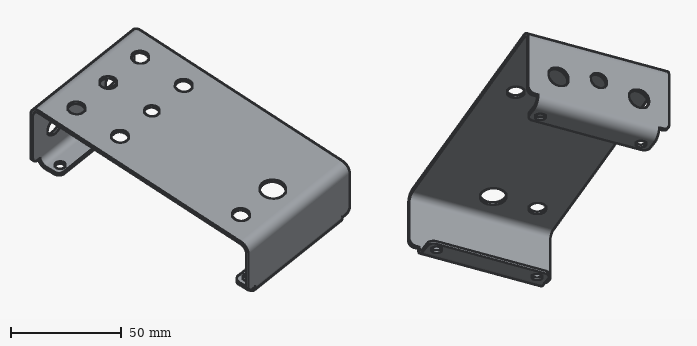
import cadquery as cq
import math

LENGTH = 130.0
WIDTH = 70.0
HEIGHT = 40.0
THICKNESS = 1.5
BEND_RADIUS = 5.0
TOP_SLOPE = 3.0

FLANGE_LENGTH = 13.0
FLANGE_WIDTH = 60.0
CORNER_RADIUS = 3.0

TOP_HOLE_DIAMETER = 8.0
SMALL_TOP_HOLE_DIAMETER = 7.0
LARGE_TOP_HOLE_DIAMETER = 12.0
TOP_ROW_SPACING = 22.0
FIRST_COLUMN_INSET = 16.1
COLUMN_SPACING = 26.0
RIGHT_COLUMN_INSET = 15.7

WALL_HOLE_DIAMETER = 10.0
WALL_HOLE_OFFSET = 20.0
WALL_HOLE_HEIGHT = 18.0
MIDDLE_WALL_HOLE_DIAMETER = 8.0
MIDDLE_WALL_HOLE_HEIGHT = 22.0

FLANGE_HOLE_DIAMETER = 5.0
FLANGE_HOLE_INSET = 9.0
FLANGE_HOLE_OFFSET = 25.0

HALF_LENGTH = LENGTH / 2
slope = math.radians(TOP_SLOPE)
upper_left_z = HEIGHT - BEND_RADIUS
upper_right_z = upper_left_z - (LENGTH - 2 * BEND_RADIUS) * math.tan(slope)

bend_x = HALF_LENGTH - BEND_RADIUS
top_angle = math.pi / 2 - slope
BENDS = [
    (-bend_x, BEND_RADIUS, 1.5 * math.pi, math.pi),
    (-bend_x, upper_left_z, math.pi, top_angle),
    (bend_x, upper_right_z, top_angle, 0.0),
    (bend_x, BEND_RADIUS, 0.0, -math.pi / 2),
]


def bend_point(x, z, radius, angle):
    return (x + radius * math.cos(angle), z + radius * math.sin(angle))


def folded_sheet():
    """Constant-thickness strip folded round the four bends."""
    inner_radius = BEND_RADIUS - THICKNESS
    flange_tip = HALF_LENGTH - FLANGE_LENGTH
    profile = cq.Workplane("XZ").moveTo(-flange_tip, 0)
    for x, z, start, end in BENDS:
        profile = profile.lineTo(*bend_point(x, z, BEND_RADIUS, start))
        profile = profile.threePointArc(
            bend_point(x, z, BEND_RADIUS, (start + end) / 2),
            bend_point(x, z, BEND_RADIUS, end),
        )
    profile = profile.lineTo(flange_tip, 0).lineTo(flange_tip, THICKNESS)
    for x, z, start, end in reversed(BENDS):
        profile = profile.lineTo(*bend_point(x, z, inner_radius, end))
        profile = profile.threePointArc(
            bend_point(x, z, inner_radius, (start + end) / 2),
            bend_point(x, z, inner_radius, start),
        )
    profile = profile.lineTo(-flange_tip, THICKNESS).close()
    return profile.extrude(WIDTH / 2, both=True)


def wall_envelope():
    """Full-width region above the lower bends, with rounded lower corners."""
    wall_height = HEIGHT - BEND_RADIUS
    return (
        cq.Workplane("XY")
        .workplane(offset=BEND_RADIUS)
        .box(LENGTH, WIDTH, wall_height, centered=(True, True, False))
        .edges("|X and <Z")
        .fillet(CORNER_RADIUS)
    )


def flange_envelope():
    """Narrow region holding the lower bends and both rounded flanges."""
    flange = cq.Workplane("XY").box(
        FLANGE_LENGTH, FLANGE_WIDTH, BEND_RADIUS, centered=(True, True, False)
    )
    center_x = HALF_LENGTH - FLANGE_LENGTH / 2
    left = flange.edges("|Z and >X").fillet(CORNER_RADIUS).translate((-center_x, 0, 0))
    right = flange.edges("|Z and <X").fillet(CORNER_RADIUS).translate((center_x, 0, 0))
    return left.union(right)


def top_hole(x, y, diameter):
    """Cutter square to the sloping top, centred on its outer face."""
    normal = (math.sin(slope), 0, math.cos(slope))
    tangent_x, tangent_z = bend_point(-bend_x, upper_left_z, BEND_RADIUS, top_angle)
    surface_z = tangent_z - (x - tangent_x) * math.tan(slope)
    plane = cq.Plane(origin=(x, y, surface_z), xDir=(0, 1, 0), normal=normal)
    return cq.Workplane(plane).circle(diameter / 2).extrude(2 * THICKNESS, both=True)


def top_holes():
    first_x = FIRST_COLUMN_INSET - HALF_LENGTH
    second_x = first_x + COLUMN_SPACING
    right_x = HALF_LENGTH - RIGHT_COLUMN_INSET
    cutters = top_hole(right_x, 0, LARGE_TOP_HOLE_DIAMETER)
    cutters = cutters.union(top_hole(right_x, -TOP_ROW_SPACING, TOP_HOLE_DIAMETER))
    for row in (-1, 0, 1):
        y = row * TOP_ROW_SPACING
        second_diameter = SMALL_TOP_HOLE_DIAMETER if row == 0 else TOP_HOLE_DIAMETER
        cutters = cutters.union(top_hole(first_x, y, TOP_HOLE_DIAMETER))
        cutters = cutters.union(top_hole(second_x, y, second_diameter))
    return cutters


def wall_holes():
    wall = cq.Workplane("YZ", origin=(-HALF_LENGTH, 0, 0))
    outer = (
        wall.pushPoints([(side * WALL_HOLE_OFFSET, WALL_HOLE_HEIGHT) for side in (-1, 1)])
        .circle(WALL_HOLE_DIAMETER / 2)
        .extrude(2 * THICKNESS)
    )
    middle = (
        wall.center(0, MIDDLE_WALL_HOLE_HEIGHT)
        .circle(MIDDLE_WALL_HOLE_DIAMETER / 2)
        .extrude(2 * THICKNESS)
    )
    return outer.union(middle)


def flange_holes():
    hole_x = HALF_LENGTH - FLANGE_HOLE_INSET
    return (
        cq.Workplane("XY")
        .rect(2 * hole_x, 2 * FLANGE_HOLE_OFFSET, forConstruction=True)
        .vertices()
        .circle(FLANGE_HOLE_DIAMETER / 2)
        .extrude(2 * THICKNESS)
    )


envelope = wall_envelope().union(flange_envelope())
bracket = folded_sheet().intersect(envelope)
result = bracket.cut(top_holes()).cut(wall_holes()).cut(flange_holes())